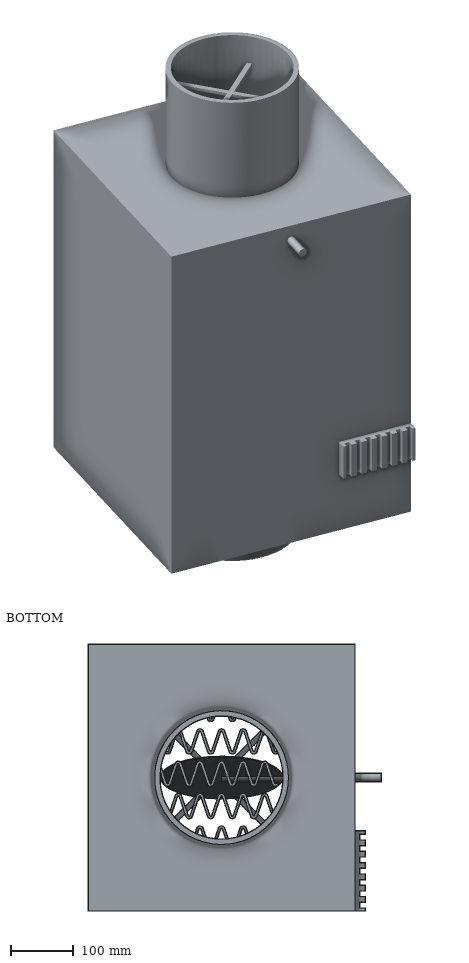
import cadquery as cq
import math

casing_width = 425.0
casing_height = 594.5
upper_stub_height = 178.0
total_height = 859.0
lower_stub_height = total_height - casing_height - upper_stub_height
duct_outer_radius = 106.5
duct_bore_radius = 98.0

casing_right_x = casing_width / 2
casing_back_y = casing_width / 2
casing_bottom_z = lower_stub_height
casing_top_z = casing_bottom_z + casing_height

strut_width = 9.0
strut_height = 5.0
strut_depth = 50.0
strut_center_x = -6.0
strut_angles = (45, -45)

sink_length = 128.0
sink_height = 60.0
sink_depth = 16.0
sink_bottom_z = 192.5
slot_count = 7
slot_width = 9.0
slot_depth = 9.0
slot_pitch = 18.0
first_slot_inset = 9.5

wire_diameter = 4.0
wire_row_count = 5
wire_row_pitch = 51.5
wire_rows_center_y = -6.0
wave_length = 34.0
wave_amplitude = 18.0
bend_radius = 3.5
waves_per_side = 3
wire_z = sink_bottom_z + sink_height / 2

damper_clearance = 1.0
damper_radius = duct_bore_radius - damper_clearance
damper_thickness = 2.0
damper_tilt = 70
shaft_radius = 7.0
shaft_overhang = 42.0
shaft_drop = 27.5
shaft_z = casing_top_z - shaft_drop


def upright_cylinder(radius, bottom_z, height):
    return cq.Workplane("XY", origin=(0, 0, bottom_z)).circle(radius).extrude(height)


def make_shaft():
    """Round shaft from the duct axis to its free end outside the casing."""
    length = casing_right_x + shaft_overhang
    return cq.Workplane("YZ", origin=(0, 0, shaft_z)).circle(shaft_radius).extrude(length)


def make_ducted_casing():
    """Square casing and both duct stubs, with the bore cut through."""
    block = cq.Workplane("XY", origin=(0, 0, casing_bottom_z)).rect(casing_width, casing_width)
    block = block.extrude(casing_height)
    duct = upright_cylinder(duct_outer_radius, 0, total_height)
    return block.union(duct).cut(upright_cylinder(duct_bore_radius, 0, total_height))


def make_struts():
    """Two bars at right angles, ending inside the duct wall."""
    bottom_z = total_height - strut_depth - strut_height
    struts = cq.Workplane("XY")
    for angle in strut_angles:
        bar = (
            cq.Workplane("XY", origin=(strut_center_x, 0, bottom_z))
            .transformed(rotate=(0, 0, angle))
            .rect(2 * duct_outer_radius + strut_width, strut_width)
            .extrude(strut_height)
        )
        struts = struts.union(bar)
    wall_middle_radius = (duct_bore_radius + duct_outer_radius) / 2
    return struts.intersect(upright_cylinder(wall_middle_radius, bottom_z, strut_height))


def make_heat_sink():
    """Plate with vertical slots, flush with the back of the casing."""
    sink = cq.Workplane("XY").box(sink_depth, sink_length, sink_height, centered=(False, False, False))
    sink = sink.translate((casing_right_x, casing_back_y - sink_length, sink_bottom_z))
    slot_middle_x = casing_right_x + sink_depth - slot_depth / 2
    for index in range(slot_count):
        slot_y = casing_back_y - first_slot_inset - index * slot_pitch
        slot = cq.Workplane("XY", origin=(slot_middle_x, slot_y, sink_bottom_z))
        sink = sink.cut(slot.rect(slot_depth, slot_width).extrude(sink_height))
    return sink


def make_wire(row_y):
    """One wire of straight flanks and round bends, with a trough on the duct axis."""
    half_wave = wave_length / 2
    bend_rise = 2 * (wave_amplitude - bend_radius)
    bend_spacing = math.hypot(half_wave, bend_rise)
    flank_angle = math.atan2(bend_rise, half_wave) + math.asin(2 * bend_radius / bend_spacing)
    tangent_x = bend_radius * math.sin(flank_angle)
    tangent_y = wave_amplitude - bend_radius + bend_radius * math.cos(flank_angle)

    last_bend = 2 * waves_per_side
    start_x = -last_bend * half_wave
    start_y = row_y - wave_amplitude
    path = cq.Workplane("XY", origin=(0, 0, wire_z)).moveTo(start_x, start_y)
    half_bend_point = (
        start_x + bend_radius * math.sin(flank_angle / 2),
        start_y + bend_radius * (1 - math.cos(flank_angle / 2)),
    )
    path = path.threePointArc(half_bend_point, (start_x + tangent_x, row_y - tangent_y))
    for bend in range(1 - last_bend, last_bend):
        bend_x = bend * half_wave
        side = 1 if bend % 2 else -1
        bend_y = row_y + side * tangent_y
        tip = (bend_x, row_y + side * wave_amplitude)
        path = path.lineTo(bend_x - tangent_x, bend_y).threePointArc(tip, (bend_x + tangent_x, bend_y))
    profile = cq.Workplane("YZ", origin=(start_x, start_y, wire_z)).circle(wire_diameter / 2)
    return profile.sweep(path)


def make_housing():
    housing = make_ducted_casing().union(make_struts()).union(make_heat_sink())
    for row in range(wire_row_count):
        row_offset = row - (wire_row_count - 1) / 2
        housing = housing.union(make_wire(wire_rows_center_y + row_offset * wire_row_pitch))
    return housing.cut(make_shaft())


def make_damper():
    """Disc leaning toward the back at its top, joined to its shaft."""
    disc = cq.Workplane("XY").circle(damper_radius).extrude(damper_thickness / 2, both=True)
    disc = disc.rotate((0, 0, 0), (1, 0, 0), damper_tilt).translate((0, 0, shaft_z))
    return disc.union(make_shaft())


housing = make_housing()
damper = make_damper()

result = cq.Compound.makeCompound([housing.val(), damper.val()])